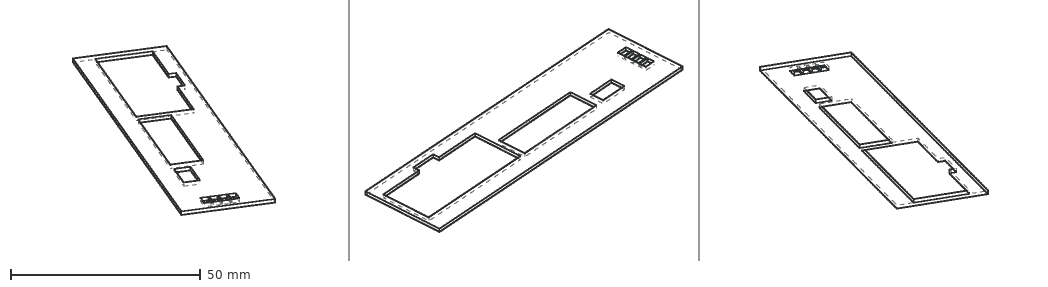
import cadquery as cq

panel_length = 98.0
panel_width = 26.0
panel_thickness = 1.1

window_left = 2.1
window_length = 36.9
window_bottom = 5.6
window_height = 15.9
notch_left = 16.6
notch_length = 7.9
notch_rise = 2.1

display_left = 40.8
display_length = 28.9
display_height = 9.1

connector_left = 72.6
connector_length = 8.5
connector_bottom = 5.8
connector_height = 4.5

slot_count = 4
slot_left = 91.5
slot_length = 3.2
slot_bottom = 7.3
slot_height = 2.2
slot_pitch = 2.5


def block(left, bottom, length, height):
    """Full-thickness block placed by its lower left corner."""
    solid = cq.Workplane("XY").box(length, height, panel_thickness, centered=False)
    return solid.translate((left, bottom, 0))


panel = block(0, 0, panel_length, panel_width)

panel = panel.cut(block(window_left, window_bottom, window_length, window_height))
panel = panel.cut(block(notch_left, window_bottom, notch_length, window_height + notch_rise))

panel = panel.cut(block(display_left, window_bottom, display_length, display_height))
panel = panel.cut(block(connector_left, connector_bottom, connector_length, connector_height))

for index in range(slot_count):
    panel = panel.cut(block(slot_left, slot_bottom + index * slot_pitch, slot_length, slot_height))

result = panel